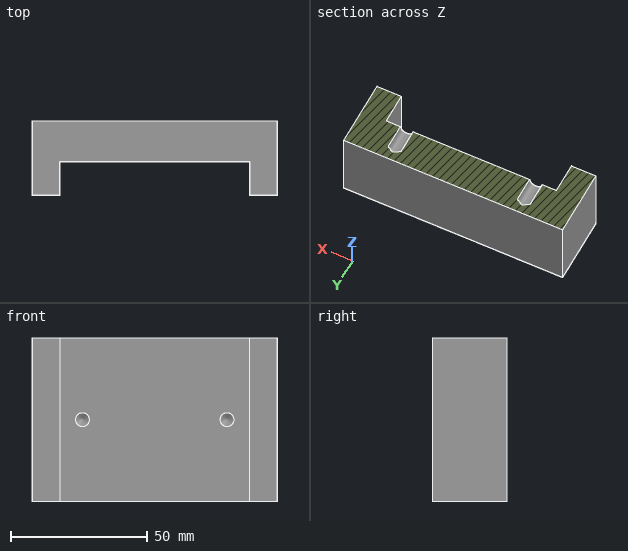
import cadquery as cq
import math

width = 90.0
depth = 27.4
height = 60.0

leg_width = 10.2
back_thickness = 15.0
channel_width = width - 2 * leg_width
channel_depth = depth - back_thickness

hole_diameter = 5.0
hole_spacing = 53.0
hole_depth = 10.0
drill_point_angle = 118.0

channel_floor_y = -depth / 2 + channel_depth


def make_bracket():
    """Block with a full-height channel, leaving two legs and a thick back."""
    block = cq.Workplane("XY").box(width, depth, height)
    channel = (
        cq.Workplane("XY")
        .box(channel_width, channel_depth, height)
        .translate((0, (channel_floor_y - depth / 2) / 2, 0))
    )
    return block.cut(channel)


def make_drilled_hole(x):
    """Cylinder with a conical drill point, running from the channel floor toward +Y."""
    radius = hole_diameter / 2
    point_length = radius / math.tan(math.radians(drill_point_angle / 2))
    profile = (
        cq.Workplane("XY")
        .polyline([(0, 0), (radius, 0), (radius, hole_depth), (0, hole_depth + point_length)])
        .close()
    )
    drill = profile.revolve(360, (0, 0, 0), (0, 1, 0))
    return drill.translate((x, channel_floor_y, 0))


result = make_bracket()
for side in (-1, 1):
    result = result.cut(make_drilled_hole(side * hole_spacing / 2))